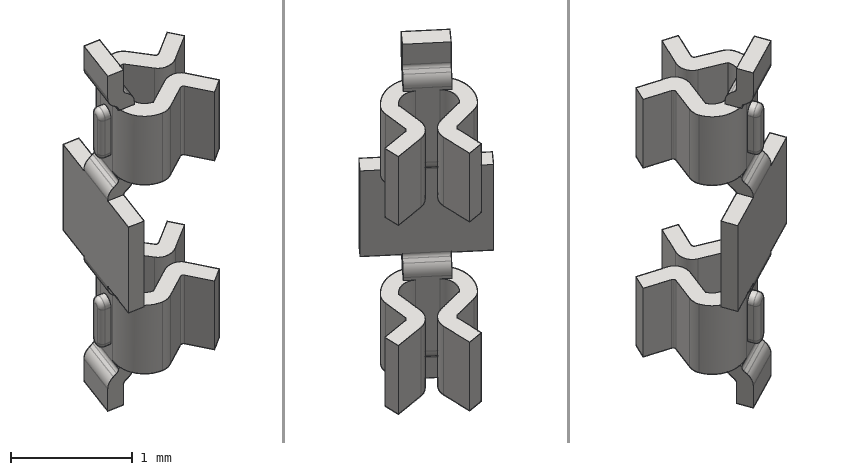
import cadquery as cq
import math


length = 3.9
depth = 1.0
sheet = 0.15

plate_width = 1.1
plate_height = 1.0

clip_height = 0.8
clip_z = 1.1
clip_bottom = 0.1
floor_width = 0.2
outer_radius = 0.3
inner_radius = outer_radius - sheet
throat_gap = 0.1
throat_round = 0.027
arm_lean = math.radians(40)
flare_lean = math.radians(45)

strip_width = 0.4
step_tilt = math.radians(50)
step_start = 0.035
bend_inner = 0.05
bend_outer = 0.15

bead_width = 0.15
bead_length = 0.55
bead_round = 0.045


def polar(center, radius, angle):
    """Point at a radius from a centre; the angle is measured from +X toward +Y."""
    return (center[0] + radius * math.cos(angle), center[1] + radius * math.sin(angle))


def clip_half():
    """Right half (X >= 0) of a clip, centred on Z = 0."""
    floor_end = floor_width / 2
    side_y = clip_bottom + outer_radius
    side_center = (floor_end, side_y)
    arc_middle = math.radians(-45)

    knee = (floor_end + inner_radius, side_y)
    knee_end = polar(knee, sheet, arm_lean)

    throat_x = throat_gap / 2 + sheet
    throat = (throat_x, knee_end[1] + (knee_end[0] - throat_x) / math.tan(arm_lean))
    throat_start = polar(throat, sheet, math.pi + arm_lean)
    throat_end = polar(throat, sheet, math.pi - flare_lean)

    tip_inner = (throat_end[0] + (depth - throat_end[1]) * math.tan(flare_lean), depth)
    tip_outer = polar(tip_inner, sheet, -flare_lean)

    return (
        cq.Workplane("XY")
        .moveTo(0, clip_bottom)
        .lineTo(floor_end, clip_bottom)
        .threePointArc(polar(side_center, outer_radius, arc_middle), (floor_end + outer_radius, side_y))
        .threePointArc(polar(knee, sheet, arm_lean / 2), knee_end)
        .lineTo(*throat)
        .lineTo(*tip_outer)
        .lineTo(*tip_inner)
        .lineTo(*throat_end)
        .threePointArc(polar(throat, sheet, math.pi), throat_start)
        .lineTo(*knee)
        .threePointArc(polar(side_center, inner_radius, arc_middle), (floor_end, clip_bottom + sheet))
        .lineTo(0, clip_bottom + sheet)
        .close()
        .extrude(clip_height / 2, both=True)
        .edges(cq.NearestToPointSelector((*throat, 0)))
        .fillet(throat_round)
    )


def bead():
    """Rounded bead on the outer face of a clip's floor, reaching down to Y = 0."""
    return (
        cq.Workplane("XZ")
        .slot2D(bead_length, bead_width, 90)
        .extrude(-clip_bottom)
        .faces("<Y")
        .edges()
        .fillet(bead_round)
    )


def clip():
    half = clip_half()
    return half.union(half.mirror("YZ")).union(bead())


def stepped_strip(reach):
    """Strip leaving a clip at Z = 0 and stepping down to the plate level, ending at Z = reach."""
    miter = sheet * math.tan(step_tilt / 2)
    step_height = clip_bottom / math.tan(step_tilt)

    clip_corner_low = (clip_bottom, step_start)
    clip_corner_high = (clip_bottom + sheet, step_start + miter)
    tab_corner_low = (0, step_start + step_height)
    tab_corner_high = (sheet, step_start + step_height + miter)

    strip = (
        cq.Workplane("YZ")
        .polyline([
            (clip_bottom, 0),
            clip_corner_low,
            tab_corner_low,
            (0, reach),
            (sheet, reach),
            tab_corner_high,
            clip_corner_high,
            (clip_bottom + sheet, 0),
        ])
        .close()
        .extrude(strip_width / 2, both=True)
    )
    bends = [
        (clip_corner_low, bend_inner),
        (tab_corner_high, bend_inner),
        (clip_corner_high, bend_outer),
        (tab_corner_low, bend_outer),
    ]
    for (y, z), radius in bends:
        strip = strip.edges(cq.NearestToPointSelector((0, y, z))).fillet(radius)
    return strip


def upper_half():
    """Clip, neck and end tab above the plate."""
    clip_top = clip_z + clip_height / 2
    clip_base = clip_z - clip_height / 2
    neck = stepped_strip(clip_base).mirror("XY").translate((0, 0, clip_base))
    tab = stepped_strip(length / 2 - clip_top).translate((0, 0, clip_top))
    return clip().translate((0, 0, clip_z)).union(neck).union(tab)


plate = cq.Workplane("XY").box(plate_width, sheet, plate_height).translate((0, sheet / 2, 0))
upper = upper_half()
result = plate.union(upper).union(upper.mirror("XY"))